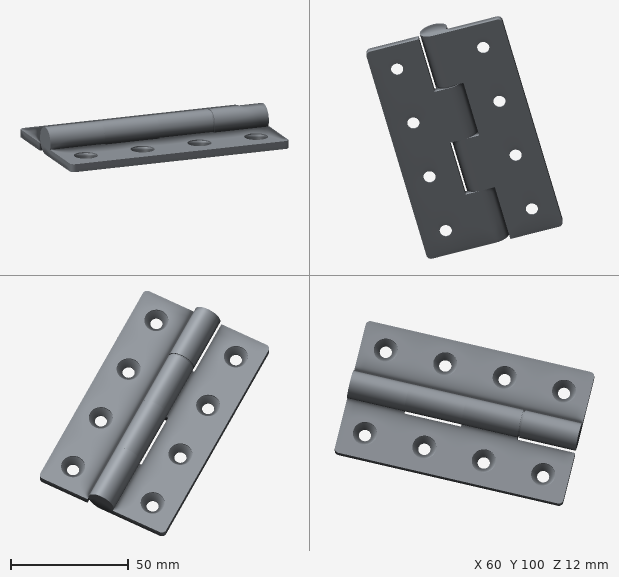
import cadquery as cq

hinge_length = 100.0
hinge_width = 60.0
leaf_thickness = 3.5
corner_radius = 2.0

knuckle_diameter = 12.0
knuckle_radius = knuckle_diameter / 2
knuckle_count = 4
knuckle_pitch = hinge_length / knuckle_count
notch_clearance = 0.5
notch_half_width = knuckle_radius + notch_clearance
axis_height = knuckle_radius
pin_diameter = 6.0

washer_diameter = 11.0
washer_thickness = 0.8

hole_count = 4
hole_pitch = 26.0
hole_row_offset = 19.0
hole_diameter = 5.2
countersink_diameter = 10.2
head_land_depth = 0.5
tip_land_depth = 0.5

hinge_start = -hinge_length / 2
hinge_end = hinge_length / 2
washer_center = hinge_end - knuckle_pitch
washer_start = washer_center - washer_thickness / 2
washer_end = washer_center + washer_thickness / 2
knuckle_starts = [hinge_start + i * knuckle_pitch for i in range(knuckle_count - 1)] + [washer_end]
knuckle_ends = knuckle_starts[1:-1] + [washer_start, hinge_end]
knuckle_spans = list(zip(knuckle_starts, knuckle_ends))


def rod(diameter, start, end):
    """Cylinder on the pin axis, from start to end along Y."""
    return (
        cq.Workplane("XZ", origin=(0, start, axis_height))
        .circle(diameter / 2)
        .extrude(start - end)
    )


def leaf_plate(side):
    """Flat plate from the pin axis to the outer edge, with its two outer corners rounded."""
    leaf_width = hinge_width / 2
    outer_edges = ">X" if side > 0 else "<X"
    return (
        cq.Workplane("XY")
        .center(side * leaf_width / 2, 0)
        .rect(leaf_width, hinge_length)
        .extrude(leaf_thickness)
        .faces(outer_edges)
        .edges("|Z")
        .fillet(corner_radius)
    )


def knuckle_notch(start, end):
    """Space that a leaf leaves free for a knuckle of the other leaf."""
    return (
        cq.Workplane("XY")
        .center(0, (start + end) / 2)
        .rect(2 * notch_half_width, end - start)
        .extrude(knuckle_diameter)
    )


def screw_hole(x, y):
    """Space of a hole: head land at the top face, cone below it, then the narrow tip land."""
    cone_end = leaf_thickness - head_land_depth
    profile = [
        (0, 0),
        (hole_diameter / 2, 0),
        (hole_diameter / 2, tip_land_depth),
        (countersink_diameter / 2, cone_end),
        (countersink_diameter / 2, leaf_thickness),
        (0, leaf_thickness),
    ]
    hole = cq.Workplane("XZ").polyline(profile).close().revolve(360, (0, 0), (0, 1))
    return hole.translate((x, y, 0))


def make_leaf(side, first_knuckle):
    """Leaf on the +X (side = 1) or -X (side = -1) side, owning every second knuckle."""
    leaf = leaf_plate(side)
    for start, end in knuckle_spans[first_knuckle::2]:
        leaf = leaf.union(rod(knuckle_diameter, start, end))
    for start, end in knuckle_spans[1 - first_knuckle::2]:
        leaf = leaf.cut(knuckle_notch(start, end))
    leaf = leaf.cut(knuckle_notch(washer_start, washer_end))
    leaf = leaf.cut(make_pin())
    for i in range(hole_count):
        hole_y = (i - (hole_count - 1) / 2) * hole_pitch
        leaf = leaf.cut(screw_hole(side * hole_row_offset, hole_y))
    return leaf


def make_pin():
    """Pin through all the knuckles, flush at both ends."""
    return rod(pin_diameter, hinge_start, hinge_end)


def make_washer():
    """Ring on the pin, slightly smaller than the knuckles."""
    return rod(washer_diameter, washer_start, washer_end).cut(make_pin())


right_leaf = make_leaf(side=1, first_knuckle=0)
left_leaf = make_leaf(side=-1, first_knuckle=1)
pin = make_pin()
washer = make_washer()

result = cq.Compound.makeCompound([right_leaf.val(), left_leaf.val(), pin.val(), washer.val()])